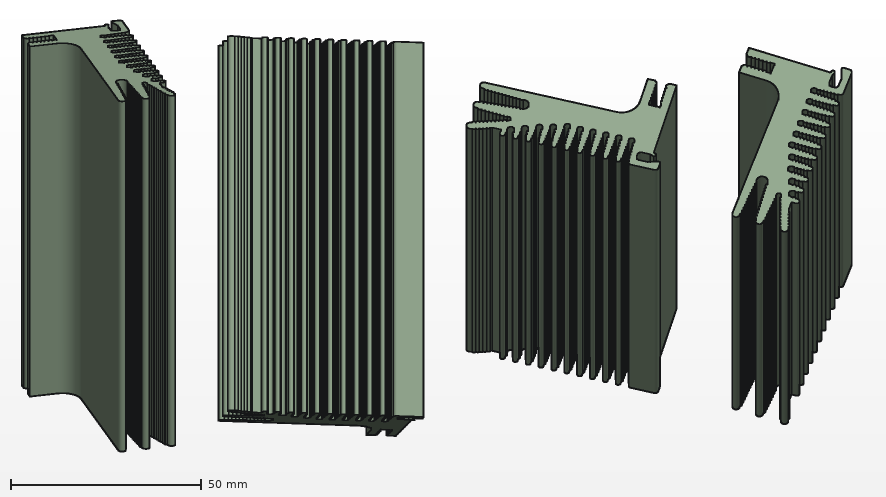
import cadquery as cq
import math

WIDTH = 52.3
HEIGHT = 28.0
LENGTH = 100.0

FOOT_LEFT = 2.5
FOOT_RIGHT = 10.4
BODY_BOTTOM = 12.5
INNER_FILLET = 5.0

SLOT_CENTER = 6.4
SLOT_TOP = 8.0
SLOT_WIDTH = 3.1
SLOT_SMOOTH_DEPTH = 1.2
SLOT_MOUTH_CHAMFER = 0.4

HOOK_CORNER = 0.9
HOOK_LIP_CORNER = 0.4
HOOK_LIP_BOTTOM = HEIGHT - 2.9
HOOK_LIP_WIDTH = 0.8
CHANNEL_CORNER = 1.0
CHANNEL_END = 6.5
CHANNEL_ROOF = HEIGHT - 2.0
CHANNEL_FLOOR = HEIGHT - 4.6
CHANNEL_ROOF_START = 3.2
NIB_RADIUS = 0.5
NIB_X = 2.2
NIB_Y = HEIGHT - 4.7
NIB_BOTTOM = HEIGHT - 5.5
NIB_SLOPE_END = 3.3

FIN_PITCH = 3.5
FIRST_FIN_X = 10.9
FIRST_GAP_X = FIRST_FIN_X - FIN_PITCH / 2
GAP_DEPTHS = [8.4] * 6 + [7.2, 6.2, 4.8, 3.5]
GAP_HALF_TOP = 1.1
GAP_TAPER = 0.04
FIN_TIP_HEIGHT = 0.8
LEDGE_Y = HEIGHT - 1.9

TIP_RADIUS = 1.0
TIP_X = WIDTH - TIP_RADIUS
UPPER_TIP = (TIP_X, HEIGHT - TIP_RADIUS)
MIDDLE_TIP = (TIP_X, 20.0)
LOWER_TIP = (TIP_X, BODY_BOTTOM + TIP_RADIUS)
UPPER_ROOT = (42.2, 22.2)
UPPER_ROOT_RADIUS = 0.6
LOWER_ROOT = (39.7, 16.7)
LOWER_ROOT_RADIUS = 1.5

RIDGE_HEIGHT = 0.3
FIN_RIDGE_PITCH = 1.0
SLOT_RIDGE_PITCH = 1.1
FIN_SMOOTH_END = 0.5


def on_circle(center, radius, angle):
    """Point of a circle at an angle in radians."""
    return (center[0] + radius * math.cos(angle), center[1] + radius * math.sin(angle))


def ridged_wall(outline, start, end, pitch):
    """Continue a clockwise outline from start to end with ridges bulging out to its left."""
    run_x = end[0] - start[0]
    run_y = end[1] - start[1]
    length = math.hypot(run_x, run_y)
    count = round(length / pitch)
    crest_x = -run_y / length * RIDGE_HEIGHT
    crest_y = run_x / length * RIDGE_HEIGHT
    for i in range(count):
        middle = (i + 0.5) / count
        crest = (start[0] + run_x * middle + crest_x, start[1] + run_y * middle + crest_y)
        foot = (start[0] + run_x * (i + 1) / count, start[1] + run_y * (i + 1) / count)
        outline = outline.threePointArc(crest, foot)
    return outline


def fin_wall(outline, start, end):
    """Wall of a fin, smooth for a short way at both ends and ridged between."""
    length = math.hypot(end[0] - start[0], end[1] - start[1])
    step_x = (end[0] - start[0]) / length * FIN_SMOOTH_END
    step_y = (end[1] - start[1]) / length * FIN_SMOOTH_END
    ridges_start = (start[0] + step_x, start[1] + step_y)
    ridges_end = (end[0] - step_x, end[1] - step_y)
    outline = outline.lineTo(*ridges_start)
    return ridged_wall(outline, ridges_start, ridges_end, FIN_RIDGE_PITCH).lineTo(*end)


def gap_half_width(depth):
    return GAP_HALF_TOP - GAP_TAPER * depth


def add_hook_top(outline):
    """Top of the hook, ending at the first gap."""
    edge = FIRST_GAP_X - gap_half_width(FIN_TIP_HEIGHT)
    return (
        outline.lineTo(0, HEIGHT - HOOK_CORNER)
        .radiusArc((HOOK_CORNER, HEIGHT), HOOK_CORNER)
        .lineTo(edge - FIN_TIP_HEIGHT, HEIGHT)
        .radiusArc((edge, HEIGHT - FIN_TIP_HEIGHT), FIN_TIP_HEIGHT)
    )


def add_upright_fins(outline):
    """Tapered gaps of varying depth, each followed by a fin with a round tip."""
    shoulder_y = HEIGHT - FIN_TIP_HEIGHT
    shoulder_half = gap_half_width(FIN_TIP_HEIGHT)
    for i, depth in enumerate(GAP_DEPTHS):
        x = FIRST_GAP_X + i * FIN_PITCH
        root_half = gap_half_width(depth)
        root_y = HEIGHT - depth + root_half
        left_root = (x - root_half, root_y)
        right_root = (x + root_half, root_y)
        right_shoulder = (x + shoulder_half, shoulder_y)
        next_shoulder = (x + FIN_PITCH - shoulder_half, shoulder_y)
        outline = fin_wall(outline, (x - shoulder_half, shoulder_y), left_root)
        outline = outline.threePointArc((x, HEIGHT - depth), right_root)
        outline = fin_wall(outline, right_root, right_shoulder)
        outline = outline.threePointArc((x + FIN_PITCH / 2, HEIGHT), next_shoulder)
    last_gap_x = FIRST_GAP_X + len(GAP_DEPTHS) * FIN_PITCH
    return outline.lineTo(last_gap_x - gap_half_width(HEIGHT - LEDGE_Y), LEDGE_Y)


def wall_angle(root, root_radius, tip, side):
    """Direction of the line touching a gap root and a fin tip; side is 1 above the gap, -1 below."""
    run_x = tip[0] - root[0]
    run_y = tip[1] - root[1]
    swing = math.asin((root_radius + TIP_RADIUS) / math.hypot(run_x, run_y))
    return math.atan2(run_y, run_x) - side * swing


def add_side_gap(outline, upper_tip, root, root_radius, lower_tip):
    """Gap between two side fins, starting with the round tip of the upper fin."""
    quarter = math.pi / 2
    upper = wall_angle(root, root_radius, upper_tip, 1)
    lower = wall_angle(root, root_radius, lower_tip, -1)
    upper_end = on_circle(upper_tip, TIP_RADIUS, upper - quarter)
    upper_start = on_circle(root, root_radius, upper + quarter)
    lower_start = on_circle(root, root_radius, lower - quarter)
    lower_end = on_circle(lower_tip, TIP_RADIUS, lower + quarter)
    outline = outline.threePointArc((WIDTH, upper_tip[1]), upper_end)
    outline = fin_wall(outline, upper_end, upper_start)
    outline = outline.threePointArc((root[0] - root_radius, root[1]), lower_start)
    return fin_wall(outline, lower_start, lower_end)


def add_side_fins(outline):
    """Inclined upper fin, middle fin and lower fin."""
    tilt = wall_angle(UPPER_ROOT, UPPER_ROOT_RADIUS, UPPER_TIP, 1)
    top_end = on_circle(UPPER_TIP, TIP_RADIUS, tilt + math.pi / 2)
    top_start = (top_end[0] - (top_end[1] - LEDGE_Y) / math.tan(tilt), LEDGE_Y)
    outline = outline.lineTo(*top_start)
    outline = fin_wall(outline, top_start, top_end)
    outline = add_side_gap(outline, UPPER_TIP, UPPER_ROOT, UPPER_ROOT_RADIUS, MIDDLE_TIP)
    outline = add_side_gap(outline, MIDDLE_TIP, LOWER_ROOT, LOWER_ROOT_RADIUS, LOWER_TIP)
    return outline.threePointArc((WIDTH, LOWER_TIP[1]), (TIP_X, BODY_BOTTOM))


def add_foot(outline):
    """Underside of the body, inner fillet and the foot with its ridged screw slot."""
    left = SLOT_CENTER - SLOT_WIDTH / 2
    right = SLOT_CENTER + SLOT_WIDTH / 2
    ridges_top = SLOT_TOP - SLOT_SMOOTH_DEPTH
    outline = (
        outline.lineTo(FOOT_RIGHT + INNER_FILLET, BODY_BOTTOM)
        .radiusArc((FOOT_RIGHT, BODY_BOTTOM - INNER_FILLET), -INNER_FILLET)
        .lineTo(FOOT_RIGHT, 0)
        .lineTo(right + SLOT_MOUTH_CHAMFER, 0)
        .lineTo(right, SLOT_MOUTH_CHAMFER)
    )
    outline = ridged_wall(outline, (right, SLOT_MOUTH_CHAMFER), (right, ridges_top), SLOT_RIDGE_PITCH)
    outline = outline.lineTo(right, SLOT_TOP).lineTo(left, SLOT_TOP).lineTo(left, ridges_top)
    outline = ridged_wall(outline, (left, ridges_top), (left, SLOT_MOUTH_CHAMFER), SLOT_RIDGE_PITCH)
    return outline.lineTo(left - SLOT_MOUTH_CHAMFER, 0).lineTo(FOOT_LEFT, 0)


def add_channel(outline):
    """Outer wall with its nib, the channel with rounded inner corners, and the hook lip."""
    return (
        outline.lineTo(FOOT_LEFT, NIB_BOTTOM)
        .lineTo(NIB_X, NIB_Y - NIB_RADIUS)
        .threePointArc((NIB_X - NIB_RADIUS, NIB_Y), (NIB_X, NIB_Y + NIB_RADIUS))
        .lineTo(NIB_SLOPE_END, CHANNEL_FLOOR)
        .lineTo(CHANNEL_END - CHANNEL_CORNER, CHANNEL_FLOOR)
        .radiusArc((CHANNEL_END, CHANNEL_FLOOR + CHANNEL_CORNER), -CHANNEL_CORNER)
        .lineTo(CHANNEL_END, CHANNEL_ROOF - CHANNEL_CORNER)
        .radiusArc((CHANNEL_END - CHANNEL_CORNER, CHANNEL_ROOF), -CHANNEL_CORNER)
        .lineTo(CHANNEL_ROOF_START, CHANNEL_ROOF)
        .lineTo(HOOK_LIP_WIDTH, HOOK_LIP_BOTTOM)
        .lineTo(HOOK_LIP_CORNER, HOOK_LIP_BOTTOM)
        .radiusArc((0, HOOK_LIP_BOTTOM + HOOK_LIP_CORNER), HOOK_LIP_CORNER)
    )


profile = cq.Workplane("XY").moveTo(0, HOOK_LIP_BOTTOM + HOOK_LIP_CORNER)
profile = add_hook_top(profile)
profile = add_upright_fins(profile)
profile = add_side_fins(profile)
profile = add_foot(profile)
profile = add_channel(profile)
result = profile.close().extrude(LENGTH)